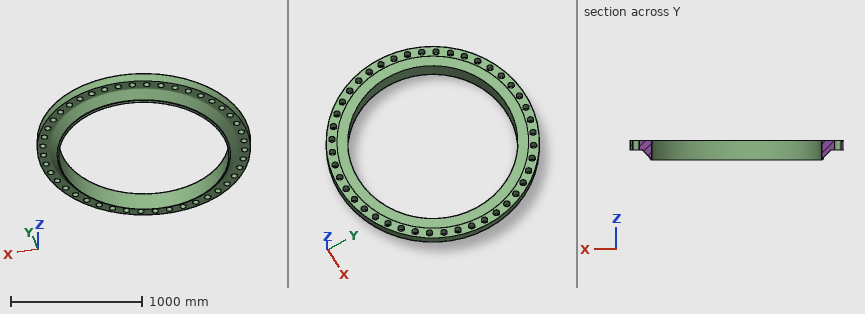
import cadquery as cq
import math

INCH = 25.4
FULL_TURN = 360

flange_diameter = 64 * INCH
bore_diameter = 51 * INCH
total_height = 150.81

face_diameter = 57.5 * INCH
face_height = 1.6
flange_thickness = 74.61

hub_base_diameter = 1436.7
hub_base_fillet = 0.5 * INCH
weld_end_diameter = 52 * INCH
weld_land_width = 1.6
bevel_angle = 37.5
weld_neck_height = 6.35

bolt_count = 44
bolt_circle_diameter = 60.5 * INCH
bolt_hole_diameter = 1.875 * INCH

edge_margin = 1.0

top_z = total_height / 2
bottom_z = -top_z
flange_bottom_z = top_z - flange_thickness
flange_top_z = top_z - face_height


def make_ring():
    """Revolve the flange, raised face and hub around Z and round the hub base."""
    bore_radius = bore_diameter / 2
    land_radius = bore_radius + weld_land_width
    weld_end_radius = weld_end_diameter / 2
    bevel_height = (weld_end_radius - land_radius) * math.tan(math.radians(bevel_angle))
    bevel_top_z = bottom_z + bevel_height
    profile = (
        cq.Workplane("XZ")
        .moveTo(bore_radius, bottom_z)
        .lineTo(land_radius, bottom_z)
        .lineTo(weld_end_radius, bevel_top_z)
        .lineTo(weld_end_radius, bevel_top_z + weld_neck_height)
        .lineTo(hub_base_diameter / 2, flange_bottom_z)
        .lineTo(flange_diameter / 2, flange_bottom_z)
        .lineTo(flange_diameter / 2, flange_top_z)
        .lineTo(face_diameter / 2, flange_top_z)
        .lineTo(face_diameter / 2, top_z)
        .lineTo(bore_radius, top_z)
        .close()
    )
    ring = profile.revolve(FULL_TURN, (0, 0, 0), (0, 1, 0))
    reach = hub_base_diameter / 2 + edge_margin
    hub_base_zone = cq.selectors.BoxSelector(
        (-reach, -reach, flange_bottom_z - edge_margin),
        (reach, reach, flange_bottom_z + edge_margin),
        boundingbox=True,
    )
    return ring.edges(hub_base_zone).fillet(hub_base_fillet)


def make_bolt_holes():
    """Cylinders through the flange ring, the first one on the +X axis."""
    return (
        cq.Workplane("XY", origin=(0, 0, flange_bottom_z))
        .polarArray(bolt_circle_diameter / 2, 0, FULL_TURN, bolt_count)
        .circle(bolt_hole_diameter / 2)
        .extrude(flange_thickness)
    )


result = make_ring().cut(make_bolt_holes())